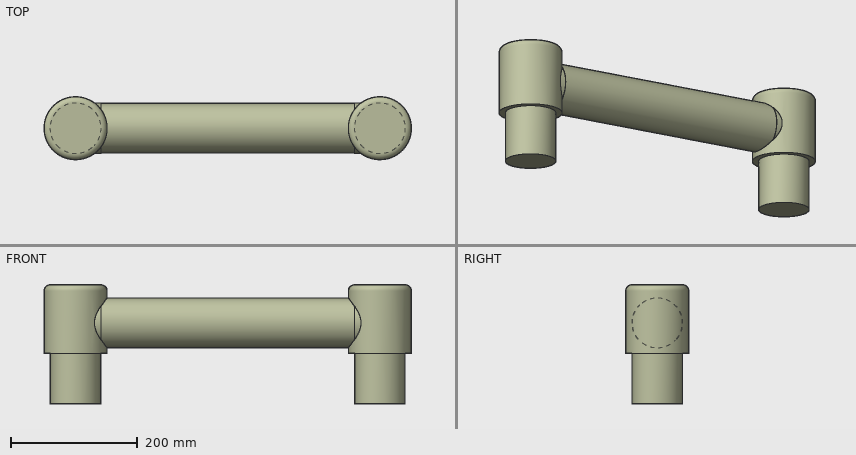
import cadquery as cq

length = 580.0
height = 188.0

head_diameter = 100.0
head_height = 108.5
head_edge_radius = 10.0
leg_diameter = 80.0
leg_length = height - head_height
post_offset = (length - head_diameter) / 2

bar_diameter = 79.0
bar_axis_height = 127.5
socket_diameter = 80.0
socket_reach = 40.0


def post(x):
    """Round leg carrying a wider head with a rounded top edge."""
    leg = cq.Workplane("XY").center(x, 0).circle(leg_diameter / 2).extrude(leg_length)
    head = (
        cq.Workplane("XY", origin=(x, 0, leg_length))
        .circle(head_diameter / 2)
        .extrude(head_height)
        .faces(">Z")
        .edges()
        .fillet(head_edge_radius)
    )
    return leg.union(head)


def bar(diameter, half_span):
    """Horizontal cylinder along X, centred between the posts."""
    return (
        cq.Workplane("YZ", origin=(-half_span, 0, bar_axis_height))
        .circle(diameter / 2)
        .extrude(2 * half_span)
    )


def socket(side):
    """Slightly wider collar that reaches from a post axis toward the middle."""
    return (
        cq.Workplane("YZ", origin=(side * post_offset, 0, bar_axis_height))
        .circle(socket_diameter / 2)
        .extrude(-side * socket_reach)
    )


result = bar(bar_diameter, post_offset)
for side in (-1, 1):
    result = result.union(socket(side)).union(post(side * post_offset))